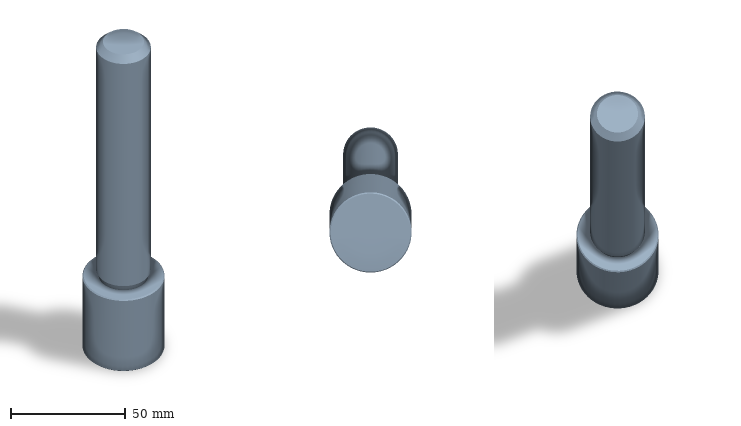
import cadquery as cq

total_length = 170.0

head_diameter = 36.0
head_length = 40.0
head_chamfer = 0.5

neck_diameter = 22.0
neck_length = 3.0

shank_diameter = 24.0
tip_chamfer = 3.0


def cylinder(diameter, bottom, height):
    """Upright cylinder on the Z axis, starting at the given level."""
    return cq.Workplane("XY").workplane(offset=bottom).circle(diameter / 2).extrude(height)


def make_head():
    """Head with both rims lightly chamfered."""
    return cylinder(head_diameter, 0, head_length).edges().chamfer(head_chamfer)


def make_neck():
    """Narrow relief just above the head."""
    return cylinder(neck_diameter, head_length, neck_length)


def make_shank():
    """Long shank whose top rim is chamfered."""
    bottom = head_length + neck_length
    shank = cylinder(shank_diameter, bottom, total_length - bottom)
    return shank.faces(">Z").edges().chamfer(tip_chamfer)


result = make_head().union(make_neck()).union(make_shank())